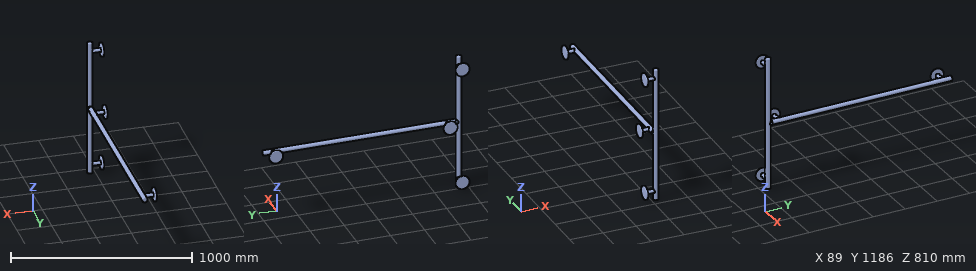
import cadquery as cq

DEPTH = 89.0
OVERALL_LENGTH = 1186.0
UPRIGHT_HEIGHT = 810.0

RAIL_DIAMETER = 32.0
STAND_OFF = DEPTH - RAIL_DIAMETER / 2
END_ROUNDING = 4.0

NECK_DIAMETER = 31.0
NECK_REACH = 21.0

FLANGE_DIAMETER = 81.0
FLANGE_THICKNESS = 12.0
FLANGE_ROUNDING = 4.0
POST_DIAMETER = 25.0
UPRIGHT_BRACKET_SPACING = 702.0
CROSS_BRACKET_SPACING = 1021.0
CROSS_END_TO_BRACKET = 53.0

CROSS_END_Y = OVERALL_LENGTH - FLANGE_DIAMETER / 2


def round_bar(start, direction, length, diameter):
    """Round bar running from a start point along a direction."""
    axis = cq.Plane(origin=start, normal=direction)
    return cq.Workplane(axis).circle(diameter / 2).extrude(length)


def upright_rail():
    """Vertical rail, rounded at both ends."""
    start = (STAND_OFF, 0, -UPRIGHT_HEIGHT / 2)
    rail = round_bar(start, (0, 0, 1), UPRIGHT_HEIGHT, RAIL_DIAMETER)
    return rail.faces("<Z or >Z").edges().fillet(END_ROUNDING)


def cross_rail():
    """Horizontal rail, rounded at its free end, with the neck that meets the upright."""
    start = (STAND_OFF, NECK_REACH, 0)
    rail = round_bar(start, (0, 1, 0), CROSS_END_Y - NECK_REACH, RAIL_DIAMETER)
    rail = rail.faces(">Y").edges().fillet(END_ROUNDING)
    neck = round_bar((STAND_OFF, 0, 0), (0, 1, 0), NECK_REACH, NECK_DIAMETER)
    return rail.union(neck)


def wall_bracket(y, z):
    """Flange on the wall and a post reaching to the rail axis."""
    wall_point = (0, y, z)
    flange = round_bar(wall_point, (1, 0, 0), FLANGE_THICKNESS, FLANGE_DIAMETER)
    flange = flange.faces("<X or >X").edges().fillet(FLANGE_ROUNDING)
    post = round_bar(wall_point, (1, 0, 0), STAND_OFF, POST_DIAMETER)
    return flange.union(post)


outer_bracket_y = CROSS_END_Y - CROSS_END_TO_BRACKET
bracket_positions = [
    (0, UPRIGHT_BRACKET_SPACING / 2),
    (0, -UPRIGHT_BRACKET_SPACING / 2),
    (outer_bracket_y, 0),
    (outer_bracket_y - CROSS_BRACKET_SPACING, 0),
]

result = upright_rail().union(cross_rail())
for y, z in bracket_positions:
    result = result.union(wall_bracket(y, z))